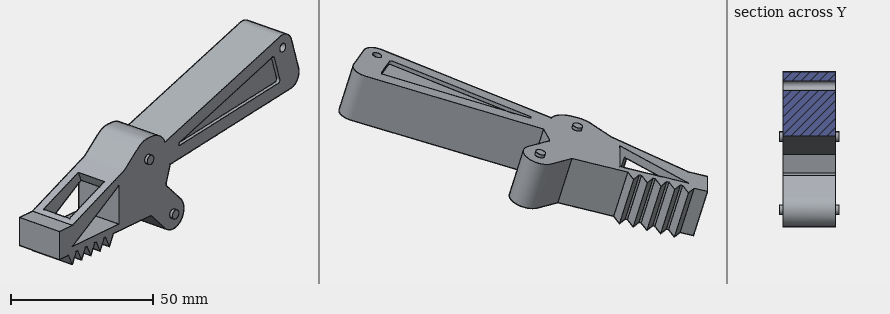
import cadquery as cq
import math


body_width = 18.5
pin_span = 21.0

nose_length = 7.0
nose_height = 10.85
ramp_end_y = 35.0

pin_diameter = 3.5
hub_radius = 8.0
hub_center = (47.7, 22.4)
hub_flat = 2.0

handle_tilt = math.radians(17.3)
underside_tilt = math.radians(6.05)
handle_length = 129.25
grip_radius = 5.0
grip_height = 40.25
grip_center_spacing = 12.8
heel_y = 59.8
grip_hole_diameter = 3.2

recess_margin = 5.0
recess_end_margin = 10.0
recess_depth = 1.5
recess_tip_radius = 0.6
recess_end_radius = 1.0

lug_radius = 6.0
lug_center = (61.2, -3.27)
neck_y = 57.65
neck_top_z = 9.7

tooth_count = 5
tooth_pitch = 5.0
tooth_width = 4.2
tooth_height = 4.33
first_tooth_y = 7.0

opening_front_y = 7.0
opening_back_y = 32.0
opening_floor_z = 2.7
opening_height = 14.8
window_width = 12.0
window_front_y = 9.25
window_back_y = 28.0


def polar(center, radius, angle):
    """Point at a given radius and angle (radians) from a center."""
    return (center[0] + radius * math.cos(angle), center[1] + radius * math.sin(angle))


def crossing(point_a, angle_a, point_b, angle_b):
    """Point where two lines, each given by a point and a direction, cross."""
    dy = point_b[0] - point_a[0]
    dz = point_b[1] - point_a[1]
    along_a = (dy * math.sin(angle_b) - dz * math.cos(angle_b)) / math.sin(angle_b - angle_a)
    return polar(point_a, along_a, angle_a)


quarter_turn = math.pi / 2
eighth_turn = math.pi / 4
handle_up = handle_tilt + quarter_turn
underside_down = underside_tilt - quarter_turn

lower_grip_y = handle_length - grip_radius
upper_grip = (lower_grip_y - grip_center_spacing * math.sin(handle_tilt), grip_height)
lower_grip = polar(upper_grip, -grip_center_spacing, handle_up)

ramp_start = (nose_length, nose_height)
ramp_end = (ramp_end_y, hub_center[1])
ramp_angle = math.atan2(ramp_end[1] - ramp_start[1], ramp_end[0] - ramp_start[0])


def extrude_centered(sketch, width):
    return sketch.extrude(width / 2, both=True)


def make_body():
    slope_angle = math.pi - math.acos(hub_radius / (hub_center[0] - ramp_end_y))
    hub_rear = (hub_center[0] + hub_flat, hub_center[1])

    top_edge_offset = grip_radius + (
        (upper_grip[0] - hub_rear[0]) * math.cos(handle_up)
        + (upper_grip[1] - hub_rear[1]) * math.sin(handle_up)
    )
    junction_angle = handle_up - math.acos(top_edge_offset / hub_radius)

    underside_end = polar(lower_grip, grip_radius, underside_down)
    heel = crossing(underside_end, underside_tilt, (heel_y, 0), quarter_turn)
    lug_top = polar(lug_center, lug_radius, eighth_turn)
    neck = crossing(lug_top, -eighth_turn, (neck_y, 0), quarter_turn)
    lug_bottom = polar(lug_center, -lug_radius, eighth_turn)
    jaw_back = crossing(lug_bottom, -eighth_turn, (0, 0), 0)

    outline = (
        cq.Workplane("YZ")
        .polyline([(0, 0), (0, nose_height), ramp_start, ramp_end])
        .lineTo(*polar(hub_center, hub_radius, slope_angle))
        .threePointArc(
            polar(hub_center, hub_radius, (slope_angle + quarter_turn) / 2),
            polar(hub_center, hub_radius, quarter_turn),
        )
        .lineTo(*polar(hub_rear, hub_radius, quarter_turn))
        .threePointArc(
            polar(hub_rear, hub_radius, (junction_angle + quarter_turn) / 2),
            polar(hub_rear, hub_radius, junction_angle),
        )
        .lineTo(*polar(upper_grip, grip_radius, handle_up))
        .threePointArc(
            polar(upper_grip, grip_radius, handle_tilt + eighth_turn),
            polar(upper_grip, grip_radius, handle_tilt),
        )
        .lineTo(*polar(lower_grip, grip_radius, handle_tilt))
        .threePointArc(
            polar(lower_grip, grip_radius, (handle_tilt + underside_down) / 2),
            underside_end,
        )
        .lineTo(*heel)
        .lineTo(neck_y, neck_top_z)
        .lineTo(*neck)
        .lineTo(*lug_top)
        .threePointArc(polar(lug_center, lug_radius, -eighth_turn), lug_bottom)
        .lineTo(*jaw_back)
        .close()
    )
    return extrude_centered(outline, body_width)


def make_tooth(tip_y):
    outline = cq.Workplane("YZ").polyline([
        (tip_y - tooth_width / 2, 0),
        (tip_y, -tooth_height),
        (tip_y + tooth_width / 2, 0),
    ]).close()
    return extrude_centered(outline, body_width)


def make_pin(center):
    return extrude_centered(cq.Workplane("YZ").center(*center).circle(pin_diameter / 2), pin_span)


def make_grip_hole():
    hole = cq.Workplane("YZ").center(*upper_grip).circle(grip_hole_diameter / 2)
    return extrude_centered(hole, body_width)


def make_recess(outer_x, inward):
    """Tapered pocket set in from the handle's edges, cut from one side face."""
    top_point = polar(upper_grip, grip_radius - recess_margin, handle_up)
    bottom_point = polar(lower_grip, grip_radius - recess_margin, underside_down)
    end_point = polar(upper_grip, grip_radius - recess_end_margin, handle_tilt)
    corners = [
        crossing(top_point, handle_tilt, bottom_point, underside_tilt),
        crossing(top_point, handle_tilt, end_point, handle_up),
        crossing(bottom_point, underside_tilt, end_point, handle_up),
    ]
    pocket = cq.Workplane("YZ", origin=(outer_x, 0, 0)).polyline(corners).close()
    pocket = pocket.extrude(inward * recess_depth)
    pocket = pocket.faces(">Y").edges("|X").fillet(recess_end_radius)
    return pocket.edges("|X").edges("<Y").fillet(recess_tip_radius)


def make_jaw_opening():
    outline = cq.Workplane("YZ").polyline([
        (opening_front_y, opening_floor_z),
        (opening_back_y, opening_floor_z),
        (opening_back_y, opening_floor_z + opening_height),
    ]).close()
    return extrude_centered(outline, body_width)


def make_ramp_window():
    """Window cut square to the ramp, from its surface down into the triangular opening."""
    opening_length = opening_back_y - opening_front_y

    def ramp_point(y):
        return crossing(ramp_start, ramp_angle, (y, 0), quarter_turn)

    opening_front = (opening_front_y, opening_floor_z)
    opening_angle = math.atan2(opening_height, opening_length)
    outer_front = ramp_point(window_front_y)
    outer_back = ramp_point(window_back_y)
    square_to_ramp = ramp_angle + quarter_turn
    outline = cq.Workplane("YZ").polyline([
        outer_front,
        outer_back,
        crossing(outer_back, square_to_ramp, opening_front, opening_angle),
        crossing(outer_front, square_to_ramp, opening_front, opening_angle),
    ]).close()
    return extrude_centered(outline, window_width)


result = make_body()
for tooth in range(tooth_count):
    result = result.union(make_tooth(first_tooth_y + tooth * tooth_pitch))
for pin_center in (hub_center, lug_center):
    result = result.union(make_pin(pin_center))

result = result.cut(make_grip_hole())
for side in (-1, 1):
    result = result.cut(make_recess(side * body_width / 2, -side))
result = result.cut(make_jaw_opening()).cut(make_ramp_window())